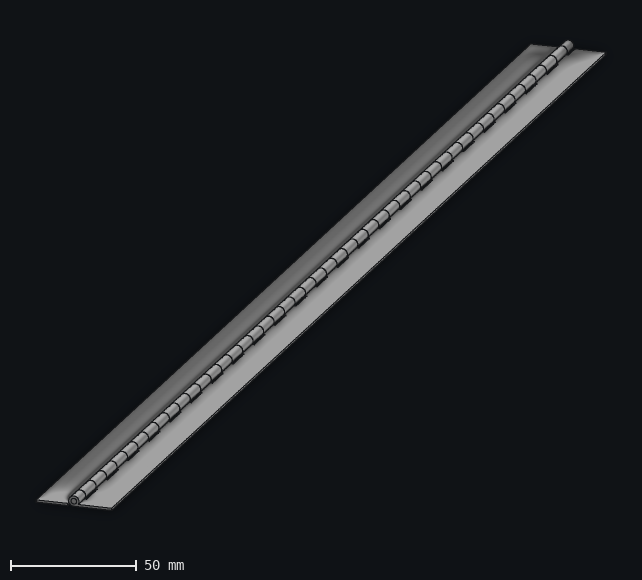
import cadquery as cq

hinge_length = 600.0
hinge_width = 32.0
barrel_diameter = 4.4
sheet_thickness = 1.0
end_knuckle_length = 8.0
knuckle_gap = 0.2
notch_clearance = 0.5
knuckle_count = 48

half_length = hinge_length / 2
half_width = hinge_width / 2
barrel_radius = barrel_diameter / 2
pin_radius = barrel_radius - sheet_thickness
notch_half_width = barrel_radius + notch_clearance
inner_knuckle_count = knuckle_count - 2
total_gap = (knuckle_count - 1) * knuckle_gap
inner_knuckle_length = (hinge_length - 2 * end_knuckle_length - total_gap) / inner_knuckle_count

LEFT = -1
RIGHT = 1


def extrude_along_hinge(profile, start, length):
    """Extrude an XZ profile towards +Y from the given Y position."""
    return profile.extrude(-length).translate((0, start, 0))


def knuckle_spans():
    """Y start and length of every knuckle, from the -Y end to the +Y end."""
    spans = []
    start = -half_length
    for index in range(knuckle_count):
        at_end = index in (0, knuckle_count - 1)
        length = end_knuckle_length if at_end else inner_knuckle_length
        spans.append((start, length))
        start += length + knuckle_gap
    return spans


def leaf_strip(side):
    """Flat strip of one leaf, stopping clear of the other leaf's knuckles."""
    strip_width = half_width - notch_half_width
    strip_center = side * (half_width + notch_half_width) / 2
    profile = cq.Workplane("XZ").center(strip_center, sheet_thickness / 2).rect(strip_width, sheet_thickness)
    return extrude_along_hinge(profile, -half_length, hinge_length)


def knuckle(side, start, length):
    """Sheet tongue that runs in under the pin and curls once around it."""
    tongue_profile = (
        cq.Workplane("XZ")
        .center(side * notch_half_width / 2, sheet_thickness / 2)
        .rect(notch_half_width, sheet_thickness)
    )
    curl_profile = cq.Workplane("XZ").center(0, barrel_radius).circle(barrel_radius)
    bore_profile = cq.Workplane("XZ").center(0, barrel_radius).circle(pin_radius)
    tongue = extrude_along_hinge(tongue_profile, start, length)
    curl = extrude_along_hinge(curl_profile, start, length)
    bore = extrude_along_hinge(bore_profile, start, length)
    return tongue.union(curl).cut(bore)


def make_leaf(side, spans):
    """One leaf: the strip joined to its own knuckles."""
    leaf = leaf_strip(side)
    for start, length in spans:
        leaf = leaf.union(knuckle(side, start, length))
    return leaf


def make_pin():
    """Plain pin through all the knuckles, flush at both ends."""
    profile = cq.Workplane("XZ").center(0, barrel_radius).circle(pin_radius)
    return extrude_along_hinge(profile, -half_length, hinge_length)


spans = knuckle_spans()
right_leaf = make_leaf(RIGHT, spans[0::2])
left_leaf = make_leaf(LEFT, spans[1::2])
pin = make_pin()

result = cq.Compound.makeCompound([left_leaf.val(), right_leaf.val(), pin.val()])